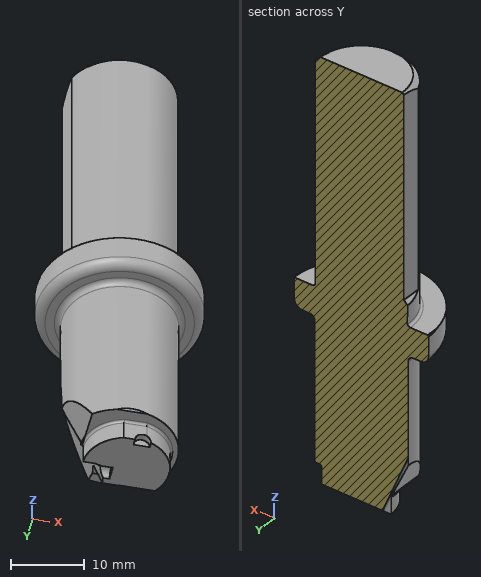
import cadquery as cq
import math

total_length = 70.0
body_bottom = 3.15
collar_bottom = 27.15
collar_top = 32.05

shank_radius = 15.8 / 2
body_radius = 16.0 / 2
collar_radius = 23.0 / 2
shank_chamfer = 0.9
collar_round = 1.4
neck_fillet = 0.85
shank_fillet = 0.4

flat_depth = 0.6
flat_bottom = 36.1

relief_tilt = 25.0
flute_tilt = 22.5
flute_floor_turn = 8.0
flute_top = 14.3
flute_corner_radius = 1.75
relief_top = 9.3
cutter_size = 42.0

heel_inner_y = 5.1
heel_outer_y = 8.1
heel_rise = 1.25
front_chamfer = 0.3

pilot_radius = 5.95
pilot_center_x = 0.9
pilot_back_y = 3.5
pilot_front_y = -5.75
pilot_fillet = 0.35
selection_margin = 0.1

notch_radius = 1.1
notch_depth = 1.05
notch_x = 2.0
notch_y = 1.4
notch_end_x = -0.85


def make_turned_blank():
    """Body, collar and shank."""
    body = cq.Workplane("XY").workplane(offset=body_bottom).circle(body_radius)
    body = body.extrude(collar_bottom - body_bottom)
    collar = cq.Workplane("XY").workplane(offset=collar_bottom).circle(collar_radius)
    collar = collar.extrude(collar_top - collar_bottom).faces("<Z").edges().fillet(collar_round)
    shank = cq.Workplane("XY").workplane(offset=collar_top).circle(shank_radius)
    shank = shank.extrude(total_length - collar_top).faces(">Z").edges().chamfer(shank_chamfer)
    blank = body.union(collar).union(shank)

    neck_edge = cq.selectors.RadiusNthSelector(0)
    blank = blank.faces(cq.selectors.NearestToPointSelector((0, 0, collar_bottom)))
    blank = blank.edges(neck_edge).fillet(neck_fillet)
    blank = blank.faces(cq.selectors.NearestToPointSelector((0, 0, collar_top)))
    return blank.edges(neck_edge).fillet(shank_fillet)


def make_flat_cutter():
    """Flat open at the shank's top, with a 45 degree runout at its lower end."""
    flat_x = flat_depth - shank_radius
    outer_x = -collar_radius
    runout_bottom = flat_bottom - (flat_x - outer_x)
    profile = [
        (flat_x, total_length),
        (flat_x, flat_bottom),
        (outer_x, runout_bottom),
        (outer_x, total_length),
    ]
    return cq.Workplane("XZ").polyline(profile).close().extrude(shank_radius, both=True)


def make_flute_cutter():
    """Tilted prism with a wall at y = 0, a rounded corner and a floor that drops away toward +Y."""
    floor_fall = cutter_size * math.tan(math.radians(flute_floor_turn))
    profile = [
        (0, 0),
        (floor_fall, cutter_size),
        (-cutter_size, cutter_size),
        (-cutter_size, 0),
    ]
    prism = cq.Workplane("XY").polyline(profile).close().extrude(cutter_size, both=True)
    corner = cq.selectors.NearestToPointSelector((0, 0, 0))
    prism = prism.edges(corner).fillet(flute_corner_radius)
    prism = prism.rotate((0, 0, 0), (0, 1, 0), -flute_tilt)
    return prism.translate((-body_radius, 0, flute_top))


def make_relief_cutter():
    """Relief behind the flute, stopping at the body's lower face to spare the pilot."""
    body_zone = cq.Workplane("XY").workplane(offset=body_bottom).circle(collar_radius)
    body_zone = body_zone.extrude(collar_bottom - body_bottom)
    block = cq.Workplane("XY").box(cutter_size, cutter_size, cutter_size)
    block = block.translate((-cutter_size / 2, -cutter_size / 2, 0))
    block = block.rotate((0, 0, 0), (0, 1, 0), -relief_tilt)
    block = block.translate((-body_radius, 0, relief_top))
    return block.intersect(body_zone)


def make_rim_cutter():
    """Sloped heel at +Y and a small 45 degree flat at -Y, both spanning X."""
    heel = [
        (heel_inner_y, body_bottom),
        (heel_outer_y, body_bottom),
        (heel_outer_y, body_bottom + heel_rise),
    ]
    front = [
        (-body_radius, body_bottom),
        (-body_radius + front_chamfer, body_bottom),
        (-body_radius, body_bottom + front_chamfer),
    ]
    cutters = cq.Workplane("YZ").polyline(heel).close().polyline(front).close()
    return cutters.extrude(body_radius, both=True)


def make_pilot():
    """Off-axis disc with two flattened sides."""
    depth = pilot_back_y - pilot_front_y
    trim = cq.Workplane("XY").box(cutter_size, depth, cutter_size)
    trim = trim.translate((0, (pilot_back_y + pilot_front_y) / 2, 0))
    pilot = cq.Workplane("XY").center(pilot_center_x, 0).circle(pilot_radius)
    return pilot.extrude(body_bottom).intersect(trim)


def make_notches():
    """Half-round blind notches entering the pilot from the flute floor and the -Y flat."""
    flute_notch = cq.Workplane("YZ", origin=(notch_end_x, notch_y, 0)).circle(notch_radius)
    flute_notch = flute_notch.extrude(-(notch_end_x + collar_radius))
    front_notch = cq.Workplane("XZ", origin=(notch_x, pilot_front_y + notch_depth, 0))
    front_notch = front_notch.circle(notch_radius).extrude(notch_depth)
    return flute_notch.union(front_notch)


def flare_pilot_root(part):
    """Concave fillet where the pilot meets the body's lower face."""
    reach = pilot_radius + selection_margin
    root = cq.selectors.BoxSelector(
        (pilot_center_x - reach, -reach, body_bottom - selection_margin),
        (pilot_center_x + reach, reach, body_bottom + selection_margin),
        boundingbox=True,
    )
    return part.edges(root).fillet(pilot_fillet)


result = make_turned_blank().cut(make_flat_cutter())
result = flare_pilot_root(result.union(make_pilot()))
result = result.cut(make_rim_cutter())
result = result.cut(make_relief_cutter())
result = result.cut(make_flute_cutter())
result = result.cut(make_notches())